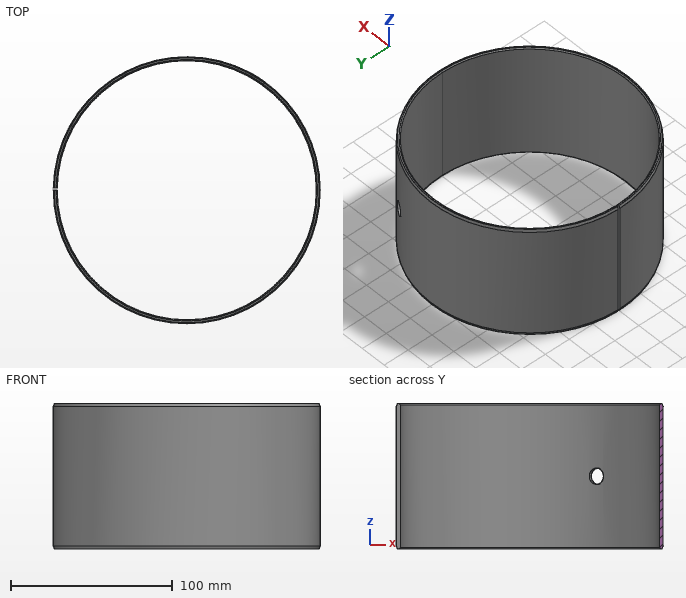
import cadquery as cq

outer_diameter = 165.0
length = 90.0
wall = 2.5

outer_chamfer_length = 2.0
outer_chamfer_depth = 0.7
inner_chamfer = 0.8

split_width = 1.3

hole_diameter = 10.0
hole_angle = 59.0

outer_radius = outer_diameter / 2
inner_radius = outer_radius - wall


def make_sleeve():
    """Revolve the wall section, chamfered at all four corners, about Z."""
    section = [
        (inner_radius + inner_chamfer, 0),
        (outer_radius - outer_chamfer_depth, 0),
        (outer_radius, outer_chamfer_length),
        (outer_radius, length - outer_chamfer_length),
        (outer_radius - outer_chamfer_depth, length),
        (inner_radius + inner_chamfer, length),
        (inner_radius, length - inner_chamfer),
        (inner_radius, inner_chamfer),
    ]
    return cq.Workplane("XZ").polyline(section).close().revolve(360, (0, 0), (0, 1))


def make_split():
    """Full-length slot through the wall on the -X side only."""
    return cq.Workplane("XY").box(
        outer_radius, split_width, length, centered=False
    ).translate((-outer_radius, 0, 0))


def make_oil_hole():
    """Radial cylinder from the axis outwards through one side of the wall."""
    return (
        cq.Workplane("YZ", origin=(0, 0, length / 2))
        .circle(hole_diameter / 2)
        .extrude(outer_diameter)
        .rotate((0, 0, 0), (0, 0, 1), hole_angle)
    )


result = make_sleeve().cut(make_split()).cut(make_oil_hole())